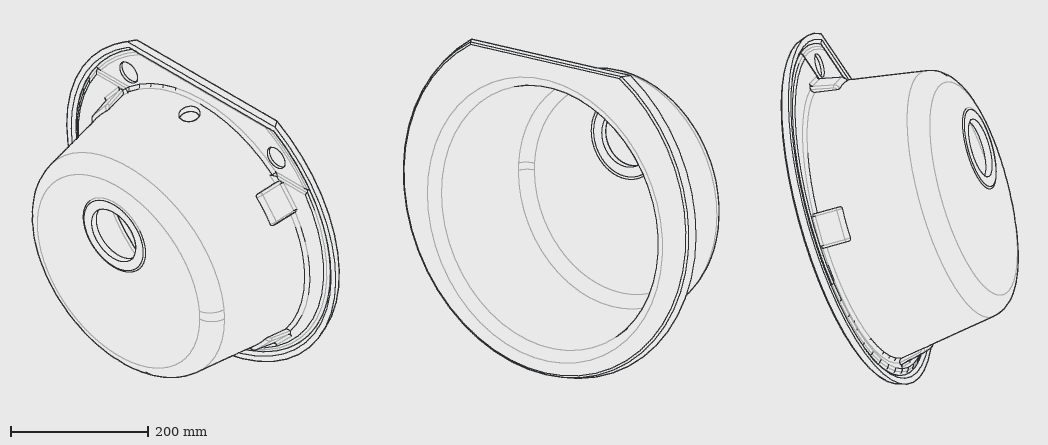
import cadquery as cq
import math


rim_radius = 264.5
rim_top_radius = 259.5
rim_depth = 15.0
rim_flat_z = 221.0
rim_edge_chamfer = 2.5

lip_inner_radius = 255.5
groove_outer_radius = 250.0
groove_depth = 10.5
lip_inner_z = 211.5
groove_flat_z = 210.0

pad_foot_radius = 249.5
pad_top_radius = 241.0
ledge_depth = 12.0
plate_depth = 15.5
ledge_foot_z = 209.5
ledge_top_z = 207.0
plate_foot_z = 135.0
plate_top_z = 127.0

tap_x = 145.0
tap_z = 161.5
tap_radius = 17.5
tap_recess = 5.0

bowl_z = -24.0
wall_thickness = 10.0
flare_radius = 214.0
flare_height = 7.5
wall_top_radius = 208.0
wall_top_depth = 21.0
opening_round = 16.0
floor_radius = 182.5
floor_depth = 191.5
bowl_corner_radius = 29.0

drain_z = 52.0
drain_foot_radius = 61.5
drain_face_radius = 58.0
drain_hole_radius = 43.5
drain_face_depth = 204.0
drain_boss_height = 1.5
overflow_depth = 40.0
overflow_radius = 15.5

lug_angles = (37, 143, 222, 318)
lug_length = 52.0
lug_inner_distance = 190.5
lug_base_distance = 217.0
lug_tip_distance = 207.5
lug_tip_depth = 57.0
lug_tip_round = 8.5
lug_side_round = 3.5
lug_foot_width = 5.5
lug_foot_height = 6.0

reach = 2 * rim_radius
buried_depth = 2.5
selection_gap = 0.5
hollow_share = 1 - math.sqrt(0.5)
wall_slope = (wall_top_radius - floor_radius) / (floor_depth - wall_top_depth)


def turned(profile, center_z=0.0):
    """Revolve a closed (radius, -depth) wire about an axis along Y."""
    return profile.close().revolve(360, (0, 0, 0), (0, 1, 0)).translate((0, 0, center_z))


def frustum(radius_a, depth_a, radius_b, depth_b, center_z=0.0):
    points = [(0, -depth_a), (radius_a, -depth_a), (radius_b, -depth_b), (0, -depth_b)]
    return turned(cq.Workplane("XY").polyline(points), center_z)


def swept_in_x(profile):
    """Extrude a closed (-depth, z) wire along X, across the whole part."""
    return profile.close().extrude(reach, both=True)


def below_slope(z_a, depth_a, z_b, depth_b):
    """Everything under a sloping plane between two depths."""
    points = [(-depth_a, -reach), (-depth_a, z_a), (-depth_b, z_b), (-depth_b, -reach)]
    return swept_in_x(cq.Workplane("YZ").polyline(points))


def s_curve(start, end):
    """Through-points of two mirrored arcs that join start to end, level at both ends.

    Returns the first arc's midpoint, the point where the arcs meet, and the second
    arc's midpoint.  Points are (across, -depth).
    """
    run = (end[0] - start[0]) / 2
    drop = (end[1] - start[1]) / 2
    half_turn = math.atan(abs(drop / run))
    arc_radius = abs(run) / math.sin(2 * half_turn)
    mid_run = math.copysign(arc_radius * math.sin(half_turn), run)
    mid_drop = math.copysign(arc_radius * (1 - math.cos(half_turn)), drop)
    middle = (start[0] + run, start[1] + drop)
    first = (start[0] + mid_run, start[1] + mid_drop)
    second = (end[0] - mid_run, end[1] - mid_drop)
    return first, middle, second


def round_pad(depth):
    """Disc rising from the groove floor with a smooth S-shaped edge."""
    start = (pad_foot_radius, -groove_depth)
    end = (pad_top_radius, -depth)
    first, middle, second = s_curve(start, end)
    profile = cq.Workplane("XY").moveTo(0, -buried_depth).lineTo(pad_foot_radius, -buried_depth)
    profile = profile.lineTo(*start).threePointArc(first, middle).threePointArc(second, end)
    return turned(profile.lineTo(0, -depth))


def straight_step(foot_z, top_z, foot_depth, top_depth):
    """Trimming solid whose upper side is a straight S-shaped step."""
    start = (foot_z, -foot_depth)
    end = (top_z, -top_depth)
    first, middle, second = s_curve(start, end)
    profile = cq.Workplane("YZ").moveTo(0, -reach).lineTo(0, foot_z).lineTo(-foot_depth, foot_z)
    profile = profile.threePointArc(first[::-1], middle[::-1])
    profile = profile.threePointArc(second[::-1], end[::-1])
    return swept_in_x(profile.lineTo(-top_depth, -reach))


def make_rim():
    rim = frustum(rim_top_radius, 0, rim_radius, rim_depth)
    rim = rim.intersect(below_slope(rim_flat_z, 0, rim_flat_z, rim_depth))
    rim = rim.faces(">Y").edges().chamfer(rim_edge_chamfer)
    groove = frustum(groove_outer_radius, groove_depth, lip_inner_radius, rim_depth)
    groove = groove.intersect(below_slope(groove_flat_z, groove_depth, lip_inner_z, rim_depth))
    ledge = round_pad(ledge_depth).intersect(
        straight_step(ledge_foot_z, ledge_top_z, groove_depth, ledge_depth))
    plate = round_pad(plate_depth).intersect(
        straight_step(plate_foot_z, plate_top_z, ledge_depth, plate_depth))
    return rim.cut(groove).union(ledge).union(plate)


def make_flare(start_depth):
    """Hollow-curved ring joining the rim underside to the bowl wall."""
    end_depth = start_depth + flare_height
    end_radius = wall_top_radius - wall_slope * (end_depth - wall_top_depth)
    run = flare_radius - end_radius
    middle = (end_radius + run * hollow_share, -start_depth - flare_height * hollow_share)
    profile = cq.Workplane("XY").moveTo(0, -groove_depth).lineTo(flare_radius, -groove_depth)
    profile = profile.lineTo(flare_radius, -start_depth)
    profile = profile.threePointArc(middle, (end_radius, -end_depth)).lineTo(0, -end_depth)
    return turned(profile, bowl_z)


def make_bowl(inset):
    """Solid bowl shape, with walls and floor moved inwards by inset."""
    start_depth = buried_depth if inset == 0 else 0
    start_radius = wall_top_radius + wall_slope * (wall_top_depth - start_depth) - inset
    bottom_radius = floor_radius - inset
    bottom_depth = floor_depth - inset
    boss_foot_depth = drain_face_depth - drain_boss_height - inset
    bowl = frustum(start_radius, start_depth, bottom_radius, bottom_depth, bowl_z)
    floor = (
        cq.Workplane("XZ", origin=(0, -bottom_depth, 0))
        .center(0, bowl_z).circle(bottom_radius)
        .workplane(offset=boss_foot_depth - bottom_depth)
        .center(0, drain_z - bowl_z).circle(drain_foot_radius)
        .loft(ruled=True)
    )
    bowl = bowl.union(floor)
    corner = cq.selectors.BoxSelector(
        (-reach, -bottom_depth - selection_gap, -reach),
        (reach, -bottom_depth + selection_gap, reach),
        boundingbox=True)
    bowl = bowl.edges(corner).fillet(bowl_corner_radius - inset)
    drain_boss = frustum(
        drain_foot_radius, boss_foot_depth, drain_face_radius, drain_face_depth - inset, drain_z)
    return bowl.union(drain_boss)


def make_lug(angle):
    """Block on the bowl wall at the given angle, with rounded edges and a concave foot."""
    base = (lug_base_distance, -groove_depth)
    tip = (lug_tip_distance, -lug_tip_depth)
    inner = [(lug_inner_distance, -lug_tip_depth), (lug_inner_distance, -groove_depth)]
    lug = cq.Workplane("XY").polyline([base, tip] + inner).close().extrude(lug_length / 2, both=True)
    lug = lug.edges(cq.selectors.NearestToPointSelector((*tip, 0))).fillet(lug_tip_round)
    face_middle = ((base[0] + tip[0]) / 2, (base[1] + tip[1]) / 2)
    for side in (-1, 1):
        corner = (*face_middle, side * lug_length / 2)
        lug = lug.edges(cq.selectors.NearestToPointSelector(corner)).fillet(lug_side_round)

    foot_end_depth = plate_depth + lug_foot_height
    face_slope = (lug_base_distance - lug_tip_distance) / (lug_tip_depth - groove_depth)
    foot_end = lug_base_distance - face_slope * (foot_end_depth - groove_depth)
    foot_start = foot_end + lug_foot_width
    middle = (
        foot_end + lug_foot_width * hollow_share,
        -plate_depth - lug_foot_height * hollow_share,
    )
    foot = cq.Workplane("XY").moveTo(lug_inner_distance, -groove_depth)
    foot = foot.lineTo(foot_start, -groove_depth).lineTo(foot_start, -plate_depth)
    foot = foot.threePointArc(middle, (foot_end, -foot_end_depth))
    foot = foot.lineTo(lug_inner_distance, -foot_end_depth).close()
    lug = lug.union(foot.extrude(lug_length / 2 - lug_side_round, both=True))
    return lug.rotate((0, 0, 0), (0, 1, 0), -angle).translate((0, 0, bowl_z))


body = make_rim().union(make_bowl(0))
body = body.union(make_flare(ledge_depth))
body = body.union(make_flare(plate_depth).intersect(
    straight_step(plate_foot_z, plate_top_z, ledge_depth, wall_top_depth + flare_height)))
for lug_angle in lug_angles:
    body = body.union(make_lug(lug_angle))

body = body.cut(make_bowl(wall_thickness))
opening_center = cq.selectors.NearestToPointSelector((0, 0, bowl_z))
body = body.faces(">Y").edges(opening_center).fillet(opening_round)

drain_hole = frustum(drain_hole_radius, 0, drain_hole_radius, drain_face_depth, drain_z)
body = body.cut(drain_hole)

overflow = cq.Workplane("XY", origin=(0, -overflow_depth, 0)).circle(overflow_radius).extrude(rim_radius)
body = body.cut(overflow)

for side in (-1, 1):
    tap = cq.Workplane("XZ", origin=(side * tap_x, tap_recess - ledge_depth, tap_z))
    body = body.cut(tap.circle(tap_radius).extrude(tap_recess))

result = body